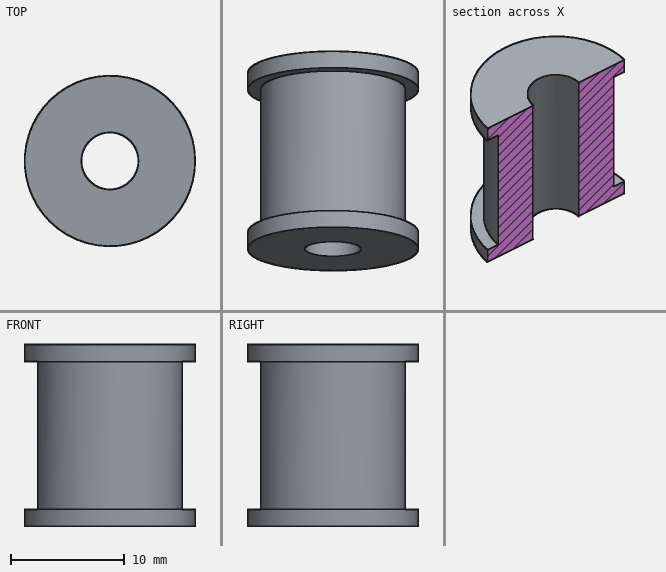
import cadquery as cq

length = 16.0
flange_diameter = 15.0
flange_thickness = 1.5
barrel_diameter = 12.74
bore_diameter = 5.0


def flange(bottom):
    """Round end flange whose lower face is at height bottom."""
    return (
        cq.Workplane("XY")
        .workplane(offset=bottom)
        .circle(flange_diameter / 2)
        .extrude(flange_thickness)
    )


spool = cq.Workplane("XY").circle(barrel_diameter / 2).extrude(length)
for flange_bottom in (0, length - flange_thickness):
    spool = spool.union(flange(flange_bottom))

bore = cq.Workplane("XY").circle(bore_diameter / 2).extrude(length)
result = spool.cut(bore)